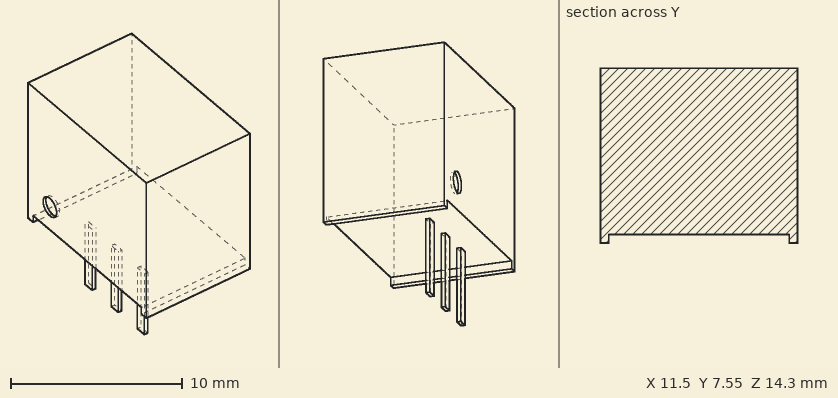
import cadquery as cq

case_width = 11.5
case_depth = 7.55
case_height = 10.2
front_y = -case_depth / 2

foot_width = 0.5
foot_height = 0.5

pin_count = 3
pin_pitch = 2.54
pin_width = 0.7
pin_thickness = 0.25
pin_length_below_feet = 4.1
pin_setback = 2.125

mark_diameter = 1.31
mark_depth = 0.2
mark_from_side = 2.13
mark_above_feet = 2.22


def make_case():
    block = cq.Workplane("XY").box(case_width, case_depth, case_height, centered=(True, True, False))
    channel = cq.Workplane("XY").box(
        case_width - 2 * foot_width, case_depth, foot_height, centered=(True, True, False)
    )
    return block.cut(channel)


def make_pins():
    """Pins hanging from the channel roof."""
    return (
        cq.Workplane("XY", origin=(0, front_y + pin_setback, foot_height))
        .rarray(pin_pitch, 1, pin_count, 1)
        .rect(pin_width, pin_thickness)
        .extrude(-(foot_height + pin_length_below_feet))
    )


def make_mark():
    """Disc that is cut from the front face."""
    mark_x = -case_width / 2 + mark_from_side
    return (
        cq.Workplane("XZ", origin=(mark_x, front_y, mark_above_feet))
        .circle(mark_diameter / 2)
        .extrude(-mark_depth)
    )


result = make_case().cut(make_mark()).union(make_pins())